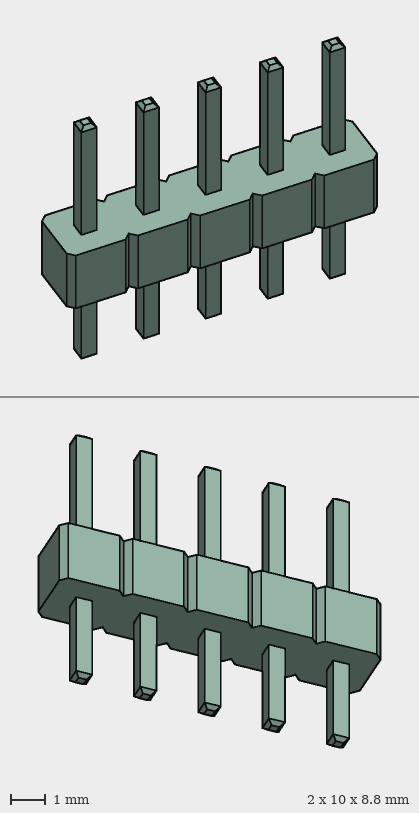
import cadquery as cq

pin_count = 5
pitch = 2.0
body_width = 2.0
body_height = 2.0
corner_chamfer = 0.2

pin_width = 0.5
pin_above = 4.0
pin_below = 2.8
tip_width = 0.25

tip_chamfer = (pin_width - tip_width) / 2
pin_length = pin_below + body_height + pin_above
row_length = pin_count * pitch
first_pin_y = (pitch - row_length) / 2


def body_cell():
    """One pitch of the insulator, with its four vertical corners chamfered."""
    return (
        cq.Workplane("XY")
        .rect(body_width, pitch)
        .extrude(body_height)
        .edges("|Z")
        .chamfer(corner_chamfer)
    )


def pin():
    """A square pin running through the insulator, with both tips chamfered."""
    return (
        cq.Workplane("XY")
        .workplane(offset=-pin_below)
        .rect(pin_width, pin_width)
        .extrude(pin_length)
        .faces("<Z or >Z")
        .chamfer(tip_chamfer)
    )


cell_with_pin = body_cell().union(pin())
result = cq.Workplane("XY")
for index in range(pin_count):
    pin_y = first_pin_y + index * pitch
    result = result.union(cell_with_pin.translate((0, pin_y, 0)))
result = result.clean()